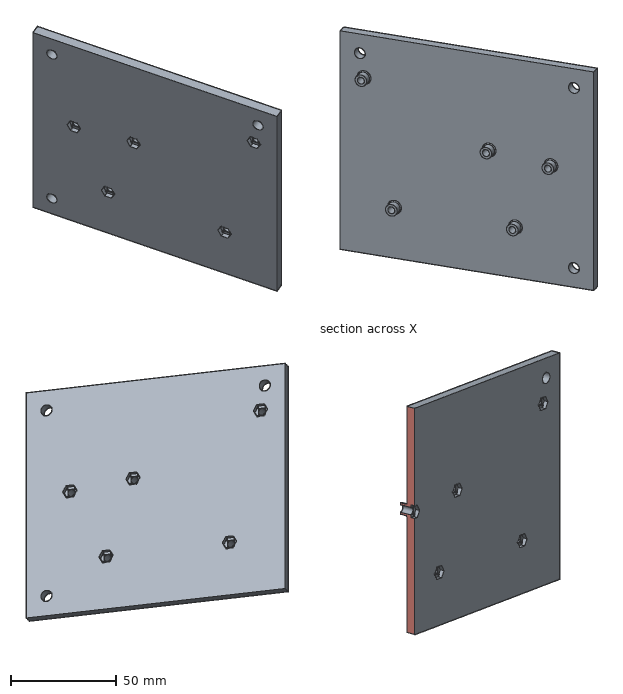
import cadquery as cq

plate_width = 130.0
plate_height = 113.5
plate_thickness = 5.0
overall_depth = 9.0

mount_hole_diameter = 5.5
mount_inset_side = 10.1
mount_inset_end = 10.0
mount_left = mount_inset_side
mount_right = plate_width - mount_inset_side
mount_bottom = mount_inset_end
mount_top = plate_height - mount_inset_end
mount_positions = [
    (mount_left, mount_bottom),
    (mount_left, mount_top),
    (mount_right, mount_top),
]

standoff_diameter = 6.0
foot_height = 0.5
foot_flare = 0.5
screw_hole_diameter = 3.5
standoff_positions = [
    (21.8, 61.4),
    (40.0, 26.5),
    (53.5, 64.2),
    (102.0, 26.5),
    (117.6, 91.3),
]

nut_corner_diameter = 7.0
nut_depth = 2.0
step_depth = 0.4
cross_depth = nut_depth + step_depth
square_depth = cross_depth + step_depth


def sketch_at(positions):
    """Points (x, z) on the front face, which looks toward -Y; negative extrusion goes to the rear."""
    plane = cq.Plane(origin=(0, 0, 0), xDir=(1, 0, 0), normal=(0, -1, 0))
    return cq.Workplane(plane).pushPoints(positions)


def cylinders(positions, diameter):
    """Cylinders running the full depth of the part."""
    return sketch_at(positions).circle(diameter / 2).extrude(-overall_depth)


def hexagons(depth):
    return sketch_at(standoff_positions).polygon(6, nut_corner_diameter).extrude(-depth)


def blocks(width, height, depth):
    return sketch_at(standoff_positions).rect(width, height).extrude(-depth)


def make_plate():
    center = (plate_width / 2, plate_height / 2)
    return sketch_at([center]).rect(plate_width, plate_height).extrude(-plate_thickness)


def make_feet():
    """Cones that widen each standoff where it meets the rear face of the plate."""
    feet = cq.Workplane()
    top_radius = standoff_diameter / 2
    for x, z in standoff_positions:
        base = cq.Vector(x, plate_thickness, z)
        rearward = cq.Vector(0, 1, 0)
        feet = feet.add(cq.Solid.makeCone(top_radius + foot_flare, top_radius, foot_height, base, rearward))
    return feet.combine()


def make_nut_pockets():
    slot = screw_hole_diameter
    upright_arms = blocks(slot, nut_corner_diameter, cross_depth)
    level_arms = blocks(nut_corner_diameter, slot, cross_depth)
    cross = upright_arms.union(level_arms).intersect(hexagons(cross_depth))
    return hexagons(nut_depth).union(cross).union(blocks(slot, slot, square_depth))


result = (
    make_plate()
    .union(cylinders(standoff_positions, standoff_diameter))
    .union(make_feet())
    .cut(cylinders(mount_positions, mount_hole_diameter))
    .cut(cylinders(standoff_positions, screw_hole_diameter))
    .cut(make_nut_pockets())
    .solids()
)